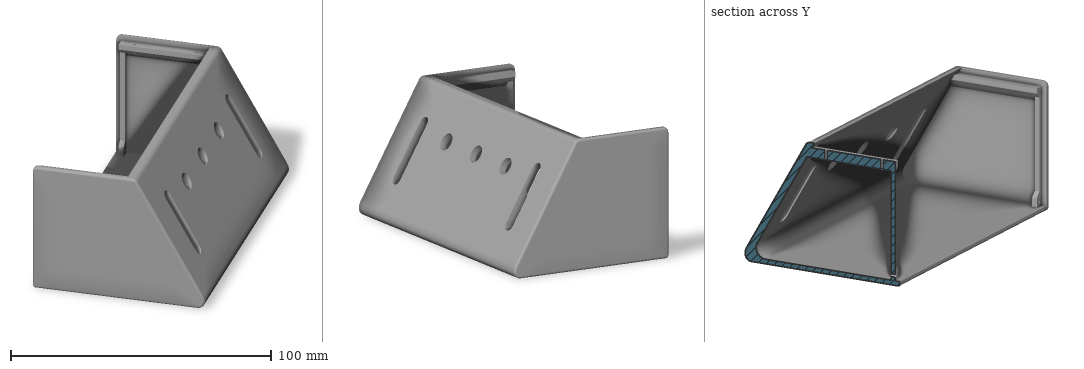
import cadquery as cq
import math

length = 68.6
width = 120.0
height = 52.0
slope = 60.0
wall = 2.0
panel_wall = 3.0

nose_radius = 3.0
shoulder_radius = 4.7
inner_nose_radius = 4.0
crest_radius = 2.4
back_corner_radius = wall
edge_radius = 1.0

jamb_reach = wall
rail_reach = 2 * wall
rail_depth = 2.0
post_height = 4.0
jamb_depth = 2.0
screw_diameter = 1.0
screw_depth = 4.0
rail_screw_xs = (8.0, 32.8)
post_screw_z = 4.0

light_diameter = 7.0
light_pitch = 22.5
light_x = 51.0
slot_width = 5.0
slot_length = 28.8
slot_x = 55.2
slot_y = 43.0

slope_angle = math.radians(slope)
shoulder_x = length - shoulder_radius * (1 - math.sin(slope_angle))
shoulder_z = nose_radius + shoulder_radius * math.cos(slope_angle)
half_inside = width / 2 - wall
screw_y = half_inside - jamb_reach
lid_seat_z = height - wall


def panel_x(z):
    """X of the panel's outer face at height z."""
    return shoulder_x - (z - shoulder_z) / math.tan(slope_angle)


def inner_panel_x(z):
    """X of the panel's inner face at height z."""
    return panel_x(z) - panel_wall / math.sin(slope_angle)


def across(profile, half_width):
    """Extrude an XZ profile symmetrically about Y = 0."""
    return profile.extrude(half_width, both=True)


def make_body():
    outline = (
        cq.Workplane("XZ")
        .lineTo(length - nose_radius, 0)
        .tangentArcPoint((length, nose_radius), relative=False)
        .tangentArcPoint((shoulder_x, shoulder_z), relative=False)
        .lineTo(panel_x(height), height)
        .lineTo(0, height)
        .close()
    )
    body = across(outline, width / 2)
    body = body.edges("|Y and >Z").edges(">X").fillet(crest_radius)
    body = body.edges("|Y and >Z").edges("<X").fillet(back_corner_radius)
    return body.edges("<Y or >Y or (|Y and <Z and <X)").fillet(edge_radius)


def make_bay():
    """Space between floor, panel and end walls, open at the back and the top."""
    outline = cq.Workplane("XZ").polyline(
        [
            (0, wall),
            (inner_panel_x(wall), wall),
            (inner_panel_x(height), height),
            (0, height),
        ]
    ).close()
    return across(outline, half_inside).edges("|Y and >X").fillet(inner_nose_radius)


def make_lid_supports(bay):
    """Rails along the top, jambs up the back and posts at the bottom, at both ends of the bay."""
    rail_y = half_inside - rail_reach
    rail_bottom = lid_seat_z - rail_depth
    post_top = wall + post_height
    seat = cq.Workplane("YZ", origin=(wall, 0, 0))
    rail = seat.polyline(
        [
            (half_inside, lid_seat_z),
            (rail_y, lid_seat_z),
            (rail_y, rail_bottom),
            (half_inside, rail_bottom - rail_reach),
        ]
    ).close().extrude(length)
    post = seat.polyline(
        [
            (half_inside, wall),
            (rail_y, wall),
            (rail_y, post_top),
            (half_inside, post_top + rail_reach),
        ]
    ).close().extrude(jamb_depth)
    jamb = cq.Workplane("XY").box(
        jamb_depth, jamb_reach, lid_seat_z - wall, centered=False
    ).translate((wall, half_inside - jamb_reach, wall))
    supports = rail.union(jamb).union(post).intersect(bay)
    return supports.union(supports.mirror("XZ"))


def make_screw_holes():
    spots = [(x, side * screw_y) for x in rail_screw_xs for side in (-1, 1)]
    rail_holes = (
        cq.Workplane("XY", origin=(0, 0, lid_seat_z))
        .pushPoints(spots)
        .circle(screw_diameter / 2)
        .extrude(-screw_depth)
    )
    post_holes = (
        cq.Workplane("YZ", origin=(wall, 0, 0))
        .pushPoints([(-screw_y, post_screw_z), (screw_y, post_screw_z)])
        .circle(screw_diameter / 2)
        .extrude(screw_depth)
    )
    return rail_holes.union(post_holes)


def panel_plane(x):
    """Plane on the panel's outer face at x: local x runs along Y, local y along the slope."""
    z = shoulder_z + (shoulder_x - x) * math.tan(slope_angle)
    normal = (math.sin(slope_angle), 0, math.cos(slope_angle))
    return cq.Plane(origin=(x, 0, z), xDir=(0, 1, 0), normal=normal)


def make_panel_openings():
    cut_depth = 2 * panel_wall
    lights = (
        cq.Workplane(panel_plane(light_x))
        .pushPoints([(i * light_pitch, 0) for i in (-1, 0, 1)])
        .circle(light_diameter / 2)
        .extrude(-cut_depth)
    )
    slots = (
        cq.Workplane(panel_plane(slot_x))
        .pushPoints([(-slot_y, 0), (slot_y, 0)])
        .slot2D(slot_length, slot_width, angle=90)
        .extrude(-cut_depth)
    )
    return lights.union(slots)


bay = make_bay()
result = (
    make_body()
    .cut(bay)
    .union(make_lid_supports(bay))
    .cut(make_screw_holes())
    .cut(make_panel_openings())
)